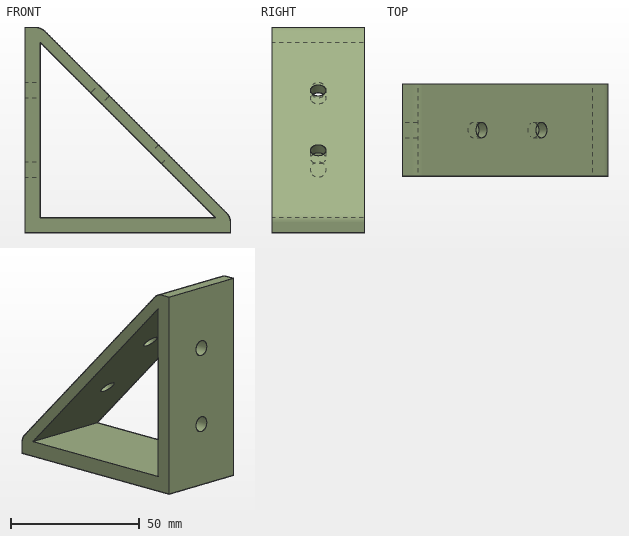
import cadquery as cq
import math

leg_length = 80.0
depth = 36.0
leg_wall = 6.0
brace_wall = 4.4

tip_radius = 5.1

hole_diameter = 6.0
leg_hole_heights = (24.6, 55.5)
brace_hole_spacing = 33.0
brace_hole_shift = 1.0

brace_sum = leg_length + brace_wall * math.sqrt(2)


def hole_cylinder_at(start, direction, length):
    """Return a screw-hole cutter running from start along direction."""
    return cq.Workplane("XY").add(
        cq.Solid.makeCylinder(hole_diameter / 2, length, cq.Vector(*start), cq.Vector(*direction))
    )


tip = brace_sum - leg_length
outline = [(0, 0), (leg_length, 0), (leg_length, tip), (tip, leg_length), (0, leg_length)]
frame = cq.Workplane("XZ").polyline(outline).close().extrude(depth / 2, both=True)
for tip_x, tip_z in ((tip, leg_length), (leg_length, tip)):
    tip_edge = cq.selectors.NearestToPointSelector((tip_x, 0, tip_z))
    frame = frame.edges("|Y").edges(tip_edge).fillet(tip_radius)

inner_end = leg_length - leg_wall
core = [(leg_wall, leg_wall), (inner_end, leg_wall), (leg_wall, inner_end)]
result = frame.cut(cq.Workplane("XZ").polyline(core).close().extrude(depth, both=True))

for height in leg_hole_heights:
    result = result.cut(hole_cylinder_at((0, 0, height), (1, 0, 0), leg_wall))

for side in (-1, 1):
    along = side * brace_hole_spacing / 2 - brace_hole_shift
    shift = along / math.sqrt(2)
    start = (brace_sum / 2 + shift, 0, brace_sum / 2 - shift)
    result = result.cut(hole_cylinder_at(start, (-1, 0, -1), 2 * brace_wall))